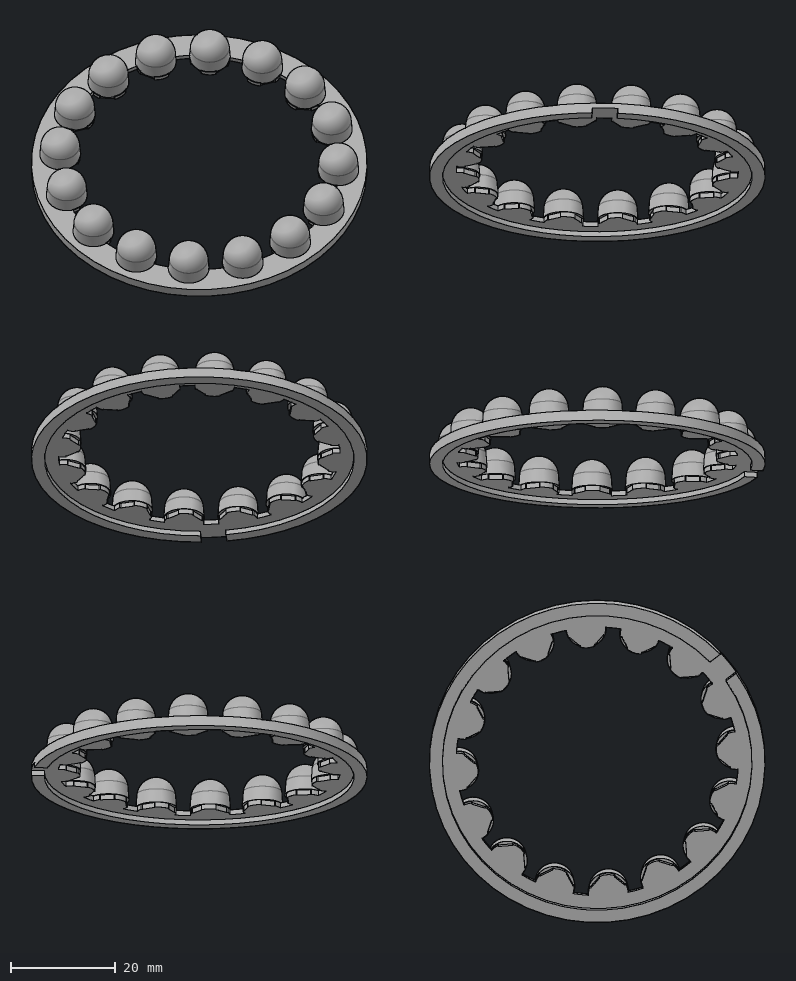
import cadquery as cq
import math

ring_diameter = 64.05
ring_height = 2.0
plate_thickness = ring_height / 2
rim_height = ring_height - plate_thickness
bore_radius = 26.9
rim_thickness = 2.5
ring_radius = ring_diameter / 2
recess_radius = ring_radius - rim_thickness

stud_circle_radius = 26.6
stud_count = 16
first_stud_angle = 0.4
total_height = 8.0
stud_base_radius = 3.9
shoulder_radius = 3.7
shoulder_height = 4.7

foot_radius = 3.8
foot_flat_width = 6.6
foot_tab_width = 2.8
foot_flat_angle = 45.0

notch_width = 4.9
notch_angle = 214.0
notch_overrun = 0.65


def make_ring():
    plate_and_rim = cq.Workplane("XY").circle(ring_radius).extrude(ring_height)
    recess = cq.Workplane("XY").circle(recess_radius).extrude(rim_height)
    bore = cq.Workplane("XY").circle(bore_radius).extrude(ring_height)
    return plate_and_rim.cut(recess).cut(bore)


def make_stud_foot():
    """Round disc trimmed by a diagonal square, with rounded tabs along and across the ring radius."""
    foot_plane = cq.Workplane("XY").workplane(offset=rim_height)
    disc = foot_plane.circle(foot_radius).extrude(plate_thickness)
    square = (
        foot_plane.transformed(rotate=(0, 0, foot_flat_angle))
        .rect(foot_flat_width, foot_flat_width)
        .extrude(plate_thickness)
    )
    radial_bar = foot_plane.rect(2 * foot_radius, foot_tab_width).extrude(plate_thickness)
    cross_bar = foot_plane.rect(foot_tab_width, 2 * foot_radius).extrude(plate_thickness)
    return square.union(radial_bar).union(cross_bar).intersect(disc)


def make_stud():
    """Slightly tapered post with a spherical top, standing on its foot, its axis on Z."""
    dome_height = total_height - shoulder_height
    dome_radius = (shoulder_radius**2 + dome_height**2) / (2 * dome_height)
    dome_center_height = total_height - dome_radius
    shoulder_angle = math.atan2(shoulder_height - dome_center_height, shoulder_radius)
    dome_mid_angle = (shoulder_angle + math.pi / 2) / 2
    dome_mid = (
        dome_radius * math.cos(dome_mid_angle),
        dome_center_height + dome_radius * math.sin(dome_mid_angle),
    )
    post = (
        cq.Workplane("XZ")
        .moveTo(0, ring_height)
        .lineTo(stud_base_radius, ring_height)
        .lineTo(shoulder_radius, shoulder_height)
        .threePointArc(dome_mid, (0, total_height))
        .close()
        .revolve(360, (0, 0, 0), (0, 1, 0))
    )
    return post.union(make_stud_foot())


def make_notch():
    """Radial channel as tall as the rim, reaching in to the recess."""
    notch_start = (bore_radius + recess_radius) / 2
    notch_length = ring_radius + notch_overrun - notch_start
    return (
        cq.Workplane("XY")
        .box(notch_length, notch_width, rim_height, centered=(False, True, False))
        .translate((notch_start, 0, 0))
        .rotate((0, 0, 0), (0, 0, 1), notch_angle)
    )


result = make_ring().cut(make_notch())
stud = make_stud().translate((stud_circle_radius, 0, 0))
for index in range(stud_count):
    angle = first_stud_angle + index * 360 / stud_count
    result = result.union(stud.rotate((0, 0, 0), (0, 0, 1), angle))